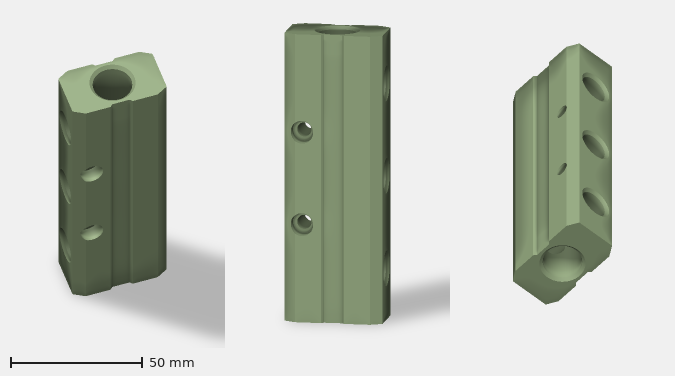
import cadquery as cq

width = 22.0
depth = 38.0
length = 112.0
bevel_x = 2.6
bevel_y = 4.5

groove_depth = 1.0
groove_mouth = 9.0
groove_floor = groove_mouth - 2 * groove_depth

bore_diameter = 15.1
bore_countersink = 17.6
cross_diameter = 11.4
cross_countersink = 13.8
hole_pitch = 36.0

screw_diameter = 5.5
screw_y = -11.9
counterbore_diameter = 8.8
counterbore_depth = 5.6


def bevelled_block():
    half_width = width / 2
    half_depth = depth / 2
    quarter = [(half_width - bevel_x, half_depth), (half_width, half_depth - bevel_y)]
    right_side = quarter + [(x, -y) for x, y in reversed(quarter)]
    left_side = [(-x, y) for x, y in reversed(right_side)]
    return (
        cq.Workplane("XY")
        .polyline(right_side + left_side)
        .close()
        .extrude(length / 2, both=True)
    )


def groove(side):
    """Groove in the face on the given side: 1 for +X, -1 for -X."""
    face_x = side * width / 2
    floor_x = face_x - side * groove_depth
    profile = [
        (face_x, -groove_mouth / 2),
        (floor_x, -groove_floor / 2),
        (floor_x, groove_floor / 2),
        (face_x, groove_mouth / 2),
    ]
    return cq.Workplane("XY").polyline(profile).close().extrude(length / 2, both=True)


def countersunk_hole(diameter, countersink, hole_length):
    """Hole along Z, centred on the origin, with a 45 degree countersink at each end."""
    radius = diameter / 2
    mouth_radius = countersink / 2
    end = hole_length / 2
    cone_start = end - (mouth_radius - radius)
    profile = [
        (0, -end),
        (mouth_radius, -end),
        (radius, -cone_start),
        (radius, cone_start),
        (mouth_radius, end),
        (0, end),
    ]
    return cq.Workplane("XZ").polyline(profile).close().revolve(360, (0, 0), (0, 1))


def screw_hole(z):
    shank = (
        cq.Workplane("YZ")
        .center(screw_y, z)
        .circle(screw_diameter / 2)
        .extrude(width / 2, both=True)
    )
    head = (
        cq.Workplane("YZ", origin=(width / 2, 0, 0))
        .center(screw_y, z)
        .circle(counterbore_diameter / 2)
        .extrude(-counterbore_depth)
    )
    return shank.union(head)


result = bevelled_block()

for side in (-1, 1):
    result = result.cut(groove(side))

result = result.cut(countersunk_hole(bore_diameter, bore_countersink, length))

cross_hole = countersunk_hole(cross_diameter, cross_countersink, depth).rotate((0, 0, 0), (1, 0, 0), 90)
for z in (-hole_pitch, 0, hole_pitch):
    result = result.cut(cross_hole.translate((0, 0, z)))

for z in (-hole_pitch / 2, hole_pitch / 2):
    result = result.cut(screw_hole(z))